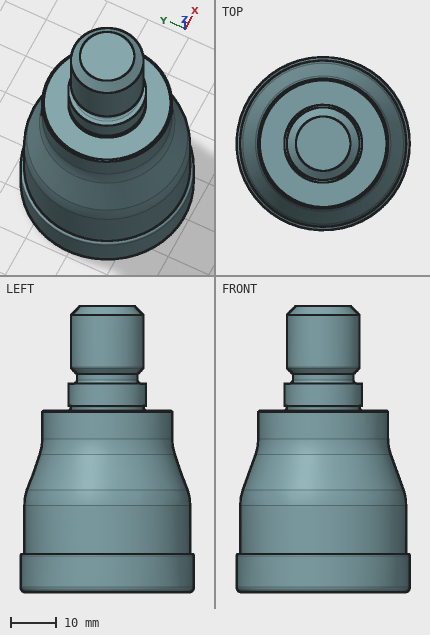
import cadquery as cq
import math

cap_radius = 19.06
cap_top = 8.5
cap_foot_fillet = 1.2
cap_top_fillet = 0.5
barrel_radius = 18.3
shoulder_bottom = 20.9
shoulder_top = 31.95
shoulder_blend = 10.0
collar_radius = 14.3
housing_height = 40.0
collar_chamfer = 0.4

neck_radius = 8.05
neck_fillet = 0.5
flange_radius = 8.55
flange_bottom = 41.0
flange_top = 45.9
undercut_radius = 6.7
undercut_fillet = 0.75
shank_radius = 8.0
shank_bottom = 49.3
shank_chamfer = 2.0
shank_edge_fillet = 0.5
total_height = 63.0


def edge_at(height):
    """Select the circular edges lying at the given height."""
    margin = 0.05
    reach = 2 * cap_radius
    return cq.selectors.BoxSelector(
        (-reach, -reach, height - margin), (reach, reach, height + margin)
    )


def make_housing():
    profile = [
        (0, 0),
        (cap_radius, 0),
        (cap_radius, cap_top),
        (barrel_radius, cap_top),
        (barrel_radius, shoulder_bottom),
        (collar_radius, shoulder_top),
        (collar_radius, housing_height - collar_chamfer),
        (collar_radius - collar_chamfer, housing_height),
        (0, housing_height),
    ]
    housing = cq.Workplane("XZ").polyline(profile).close().revolve(360, (0, 0, 0), (0, 1, 0))
    housing = housing.edges("%CIRCLE").edges(edge_at(0)).fillet(cap_foot_fillet)
    cap_rim = housing.edges(edge_at(cap_top)).edges(cq.selectors.RadiusNthSelector(-1))
    housing = cap_rim.fillet(cap_top_fillet)
    shoulder_edges = housing.edges("%CIRCLE").edges(
        edge_at(shoulder_bottom) + edge_at(shoulder_top)
    )
    return shoulder_edges.fillet(shoulder_blend)


def make_stud():
    undercut_top = shank_bottom - (shank_radius - undercut_radius)

    neck_arc_rise = neck_fillet * (1 - math.sqrt(0.5))
    undercut_arc_rise = undercut_fillet * (1 - math.sqrt(0.5))

    stud = (
        cq.Workplane("XZ")
        .moveTo(0, housing_height)
        .lineTo(neck_radius + neck_fillet, housing_height)
        .threePointArc(
            (neck_radius + neck_arc_rise, housing_height + neck_arc_rise),
            (neck_radius, housing_height + neck_fillet),
        )
        .lineTo(neck_radius, flange_bottom)
        .lineTo(flange_radius, flange_bottom)
        .lineTo(flange_radius, flange_top)
        .lineTo(undercut_radius + undercut_fillet, flange_top)
        .threePointArc(
            (undercut_radius + undercut_arc_rise, flange_top + undercut_arc_rise),
            (undercut_radius, flange_top + undercut_fillet),
        )
        .lineTo(undercut_radius, undercut_top)
        .lineTo(shank_radius, shank_bottom)
        .lineTo(shank_radius, total_height - shank_chamfer)
        .lineTo(shank_radius - shank_chamfer, total_height)
        .lineTo(0, total_height)
        .close()
        .revolve(360, (0, 0, 0), (0, 1, 0))
    )
    return stud.edges("%CIRCLE").edges(edge_at(shank_bottom)).fillet(shank_edge_fillet)


housing = make_housing()
stud = make_stud()
result = cq.Compound.makeCompound([housing.val(), stud.val()])